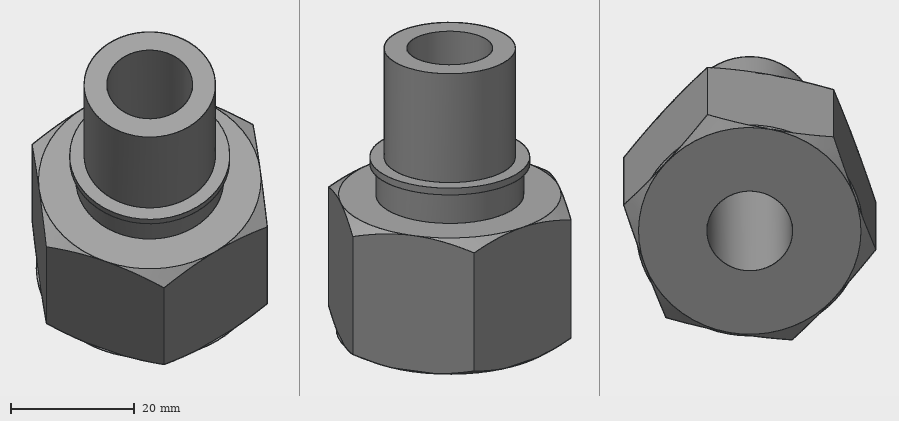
import cadquery as cq
import math

total_height = 49.75
nut_height = 24.0
collar_top = 30.6
collar_thickness = 1.2

across_flats = 36.0
across_corners = across_flats / math.cos(math.radians(30))
chamfer_slope = math.tan(math.radians(30))
chamfer_height = (across_corners - across_flats) / 2 * chamfer_slope

lip_diameter = 36.75
lip_height = (lip_diameter - across_flats) / 2 * chamfer_slope

neck_diameter = 24.0
collar_diameter = 25.9
tube_diameter = 21.3
bore_diameter = 13.9


def cylinder(diameter, bottom, top):
    """Vertical cylinder between two heights."""
    return cq.Workplane("XY").workplane(offset=bottom).circle(diameter / 2).extrude(top - bottom)


def hex_nut():
    """Hexagon with corners on the Y axis, chamfered conically at both ends."""
    hexagon = (
        cq.Workplane("XY")
        .polygon(6, across_corners)
        .extrude(nut_height)
        .rotate((0, 0, 0), (0, 0, 1), 30)
    )
    envelope = (
        cq.Workplane("XZ")
        .moveTo(0, 0)
        .lineTo(across_flats / 2, 0)
        .lineTo(across_corners / 2, chamfer_height)
        .lineTo(across_corners / 2, nut_height - chamfer_height)
        .lineTo(across_flats / 2, nut_height)
        .lineTo(0, nut_height)
        .close()
        .revolve(360, (0, 0), (0, 1))
    )
    return hexagon.intersect(envelope)


def base_lip():
    """Cone flaring from the end face to the lip diameter."""
    return (
        cq.Workplane("XZ")
        .moveTo(0, 0)
        .lineTo(across_flats / 2, 0)
        .lineTo(lip_diameter / 2, lip_height)
        .lineTo(0, lip_height)
        .close()
        .revolve(360, (0, 0), (0, 1))
    )


collar_bottom = collar_top - collar_thickness
neck = cylinder(neck_diameter, nut_height, collar_bottom)
collar = cylinder(collar_diameter, collar_bottom, collar_top)
tube = cylinder(tube_diameter, collar_top, total_height)
bore = cylinder(bore_diameter, 0, total_height)

result = hex_nut().union(base_lip()).union(neck).union(collar).union(tube).cut(bore)